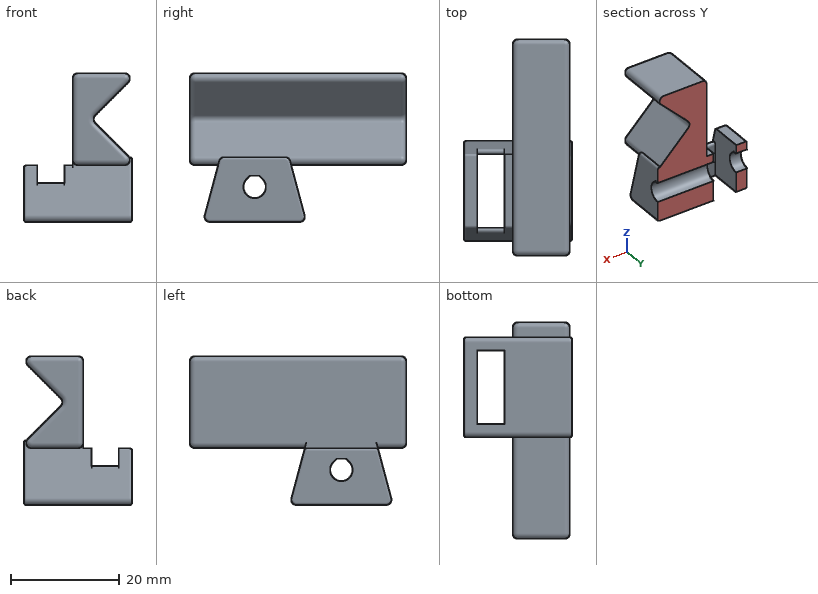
import cadquery as cq
import math

jaw_length = 40.0
jaw_height = 17.0
jaw_left = 9.0
jaw_bottom = 10.5
jaw_web = 3.5
jaw_round = 1.0
jaw_top = jaw_bottom + jaw_height
jaw_middle = jaw_bottom + jaw_height / 2
groove_root = jaw_left + jaw_web
jaw_tip = groove_root + jaw_height / 2

base_length = 20.0
base_center_y = -8.0
base_foot_width = 19.15
base_taper = 15.0
front_height = jaw_bottom
rear_height = 12.0
corner_round = 1.0
edge_round = 0.5

slot_start = 2.5
slot_width = 5.0
end_wall_round = 0.5
end_wall_top = 7.25

pin_diameter = 4.1
pin_height = 6.5


def half_width(height):
    """Half the width of the tapered base at a given height."""
    return base_foot_width / 2 - height * math.tan(math.radians(base_taper))


def make_jaw():
    outline = [
        (jaw_left, jaw_bottom),
        (jaw_tip, jaw_bottom),
        (groove_root, jaw_middle),
        (jaw_tip, jaw_top),
        (jaw_left, jaw_top),
    ]
    bar = cq.Workplane("XZ").polyline(outline).close().extrude(jaw_length / 2, both=True)
    bar = bar.edges("|Y").fillet(jaw_round)
    return bar.faces("<Y or >Y").edges().fillet(jaw_round)


def make_tapered_block(x_start, x_end, height, top_round, end_face):
    """Trapezoidal block with rounded long edges and one rounded end."""
    foot = half_width(0)
    crown = half_width(height)
    outline = [(-foot, 0), (foot, 0), (crown, height), (-crown, height)]
    block = (
        cq.Workplane("YZ", origin=(x_start, base_center_y, 0))
        .polyline(outline)
        .close()
        .extrude(x_end - x_start)
    )
    block = block.faces("<Z").edges("|X").fillet(corner_round)
    block = block.faces(">Z").edges("|X").fillet(top_round)
    return block.faces(end_face).edges().fillet(edge_round)


def make_slot():
    """Material removed by the slot, leaving the round-topped end walls standing."""
    taper = math.radians(base_taper)
    ridge_z = end_wall_top - end_wall_round
    ridge_y = half_width(ridge_z) - end_wall_round / math.cos(taper)
    window_y = ridge_y - end_wall_round
    tangent_y = ridge_y + end_wall_round * math.cos(taper)
    tangent_z = ridge_z + end_wall_round * math.sin(taper)
    outer_y = half_width(0)
    profile = (
        cq.Workplane("YZ", origin=(slot_start, base_center_y, 0))
        .moveTo(-window_y, 0)
        .lineTo(window_y, 0)
        .lineTo(window_y, ridge_z)
        .threePointArc((ridge_y, end_wall_top), (tangent_y, tangent_z))
        .lineTo(outer_y, tangent_z)
        .lineTo(outer_y, front_height)
        .lineTo(-outer_y, front_height)
        .lineTo(-outer_y, tangent_z)
        .lineTo(-tangent_y, tangent_z)
        .threePointArc((-ridge_y, end_wall_top), (-window_y, ridge_z))
        .close()
    )
    return profile.extrude(slot_width)


def make_pin_hole():
    """Round hole whose roof is two 45 degree flanks and a flat on the crown."""
    radius = pin_diameter / 2
    flank_offset = radius * math.sin(math.radians(45))
    roof_half_width = radius * math.tan(math.radians(22.5))
    profile = (
        cq.Workplane("YZ", origin=(0, base_center_y, pin_height))
        .moveTo(flank_offset, flank_offset)
        .lineTo(roof_half_width, radius)
        .lineTo(-roof_half_width, radius)
        .lineTo(-flank_offset, flank_offset)
        .threePointArc((0, -radius), (flank_offset, flank_offset))
        .close()
    )
    return profile.extrude(base_length)


def make_square_crest():
    """Fills the rounded +Y shoulder between slot and jaw, leaving that edge sharp."""
    lower_z = front_height - 2 * edge_round
    outline = [
        (0, lower_z),
        (half_width(lower_z), lower_z),
        (half_width(front_height), front_height),
        (0, front_height),
    ]
    slot_end = slot_start + slot_width
    return (
        cq.Workplane("YZ", origin=(slot_end, base_center_y, 0))
        .polyline(outline)
        .close()
        .extrude(jaw_left - slot_end)
    )


front_block = make_tapered_block(0, jaw_left, front_height, edge_round, "<X")
rear_block = make_tapered_block(jaw_left, base_length, rear_height, corner_round, ">X")
base = front_block.union(rear_block).union(make_square_crest())
base = base.cut(make_slot()).cut(make_pin_hole())
result = base.union(make_jaw())